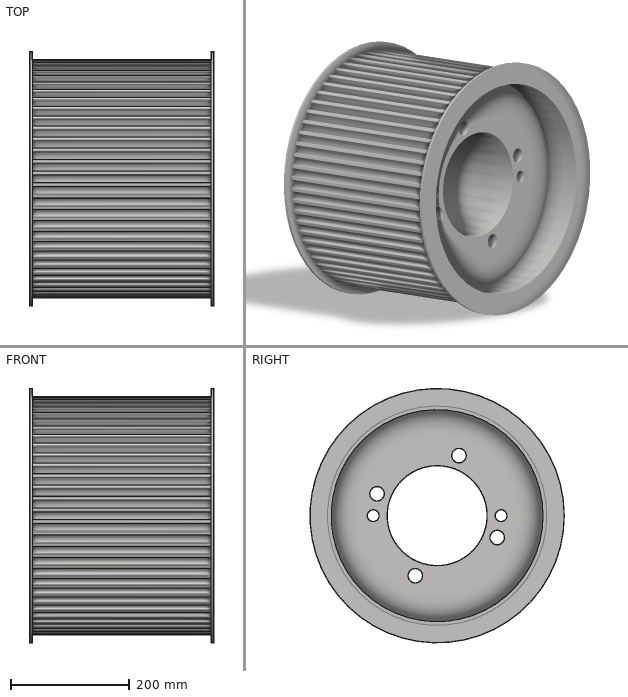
import cadquery as cq
import math

total_width = 311.15
flange_diameter = 430.0
flange_thickness = 4.5

tooth_count = 64
belt_pitch = 20.0
pitch_line_offset = 2.16
groove_depth = 8.4
groove_radius = 6.35
tip_radius = 1.2
outside_radius = tooth_count * belt_pitch / (2 * math.pi) - pitch_line_offset

recess_diameter = 358.2
recess_depth = 63.2
web_thickness = total_width - 2 * recess_depth
web_front_x = -total_width / 2 + recess_depth

flange_bore_diameter = 370.5

bore_large_diameter = 178.7
bore_small_diameter = 168.5

bolt_circle_diameter = 216.0
clearance_hole_diameter = 24.0
clearance_hole_count = 4
clearance_hole_start_angle = 20.0
jack_hole_diameter = 19.5
jack_hole_count = 2
jack_hole_start_angle = 0.0


def disc(diameter, start_x, length):
    """Solid cylinder along +X starting at start_x."""
    return cq.Workplane("YZ", origin=(start_x, 0, 0)).circle(diameter / 2).extrude(length)


def rim():
    """Toothed body between the flanges: round grooves blended into the lands by tip radii."""
    toothed_width = total_width - 2 * flange_thickness
    pitch_angle = 2 * math.pi / tooth_count
    groove_centre_radius = outside_radius - groove_depth + groove_radius
    tip_centre_radius = outside_radius - tip_radius
    centre_distance = groove_radius + tip_radius

    tip_angle = math.acos(
        (tip_centre_radius**2 + groove_centre_radius**2 - centre_distance**2)
        / (2 * tip_centre_radius * groove_centre_radius)
    )
    groove_share = groove_radius / centre_distance
    tip_x = tip_centre_radius * math.cos(tip_angle)
    tip_y = tip_centre_radius * math.sin(tip_angle)
    tangent_x = groove_centre_radius + groove_share * (tip_x - groove_centre_radius)
    tangent_y = groove_share * tip_y
    tangent_radius = math.hypot(tangent_x, tangent_y)
    tangent_angle = math.atan2(tangent_y, tangent_x)

    start_direction = math.atan2(tangent_y - tip_y, tangent_x - tip_x)
    middle_direction = (start_direction + tip_angle) / 2
    middle_x = tip_x + tip_radius * math.cos(middle_direction)
    middle_y = tip_y + tip_radius * math.sin(middle_direction)
    middle_radius = math.hypot(middle_x, middle_y)
    middle_angle = math.atan2(middle_y, middle_x)

    def at(radius, angle):
        return (radius * math.cos(angle), radius * math.sin(angle))

    outline = cq.Workplane("YZ", origin=(-toothed_width / 2, 0, 0)).moveTo(*at(outside_radius, -tip_angle))
    for tooth in range(tooth_count):
        groove_angle = tooth * pitch_angle
        next_angle = groove_angle + pitch_angle
        outline = (
            outline.threePointArc(
                at(middle_radius, groove_angle - middle_angle),
                at(tangent_radius, groove_angle - tangent_angle),
            )
            .threePointArc(
                at(outside_radius - groove_depth, groove_angle),
                at(tangent_radius, groove_angle + tangent_angle),
            )
            .threePointArc(
                at(middle_radius, groove_angle + middle_angle),
                at(outside_radius, groove_angle + tip_angle),
            )
            .threePointArc(
                at(outside_radius, groove_angle + pitch_angle / 2),
                at(outside_radius, next_angle - tip_angle),
            )
        )
    return outline.close().extrude(toothed_width)


def shoulders():
    """Plain discs at both ends of the toothed rim, filling the flange bores."""
    left = disc(flange_bore_diameter, -total_width / 2, flange_thickness)
    right = disc(flange_bore_diameter, total_width / 2 - flange_thickness, flange_thickness)
    return left.union(right)


def flange_ring(start_x):
    """One belt-retaining ring starting at start_x."""
    ring = disc(flange_diameter, start_x, flange_thickness)
    return ring.cut(disc(flange_bore_diameter, start_x, flange_thickness))


def recesses():
    """Equal pockets at both ends that leave the web in the middle."""
    left = disc(recess_diameter, -total_width / 2, recess_depth)
    right = disc(recess_diameter, total_width / 2 - recess_depth, recess_depth)
    return left.union(right)


def tapered_bore():
    """Conical bore through the web."""
    web_back_x = web_front_x + web_thickness
    return (
        cq.Workplane("XY")
        .moveTo(web_front_x, 0)
        .lineTo(web_front_x, bore_large_diameter / 2)
        .lineTo(web_back_x, bore_small_diameter / 2)
        .lineTo(web_back_x, 0)
        .close()
        .revolve(360, (0, 0, 0), (1, 0, 0))
    )


def hole_ring(diameter, count, start_angle):
    """Through holes on the bolt circle; angles turn from -Y towards +Z."""
    plane = cq.Plane(origin=(web_front_x, 0, 0), xDir=(0, -1, 0), normal=(-1, 0, 0))
    return (
        cq.Workplane(plane)
        .polarArray(bolt_circle_diameter / 2, start_angle, 360, count)
        .circle(diameter / 2)
        .extrude(-web_thickness)
    )


body = rim().union(shoulders(), clean=False)
body = body.union(flange_ring(-total_width / 2), clean=False)
body = body.union(flange_ring(total_width / 2 - flange_thickness), clean=False)
body = body.cut(recesses(), clean=False).cut(tapered_bore(), clean=False)
clearance_holes = hole_ring(clearance_hole_diameter, clearance_hole_count, clearance_hole_start_angle)
jack_holes = hole_ring(jack_hole_diameter, jack_hole_count, jack_hole_start_angle)
result = body.cut(clearance_holes, clean=False).cut(jack_holes, clean=False)